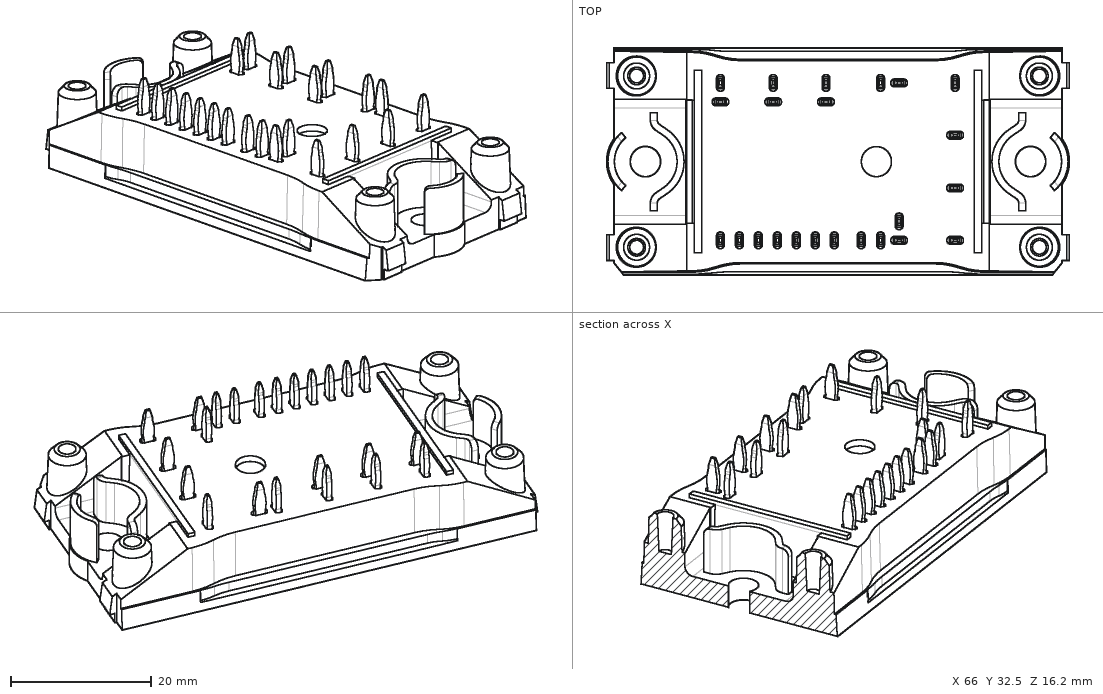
import cadquery as cq
import math

half_width = 16.25
end_x = 31.95
base_height = 3.5
body_top = 11.0
pin_top = 16.25
past_part = 39.6

base_top_half_width = 16.05
corner_cut_x = 1.45
corner_cut_y = 1.8
recess_outer_x = 19.8
recess_inner_x = 15.3
recess_end_y = 16.0
recess_wall_y = 15.7
recess_floor_inner_z = 2.0
recess_floor_outer_z = 1.4

body_wide_y = 15.8
body_narrow_y = 14.6
waist_outer_x = 20.9
waist_inner_x = 13.8
body_draft = 1.5
slope_start_x = 21.6
slope_tan = math.tan(math.radians(30))

bay_half_width = 8.9
bay_floor_radius = 1.25
plate_edge_x = 21.7
plate_edge_bottom_x = 21.6
gap_half_width = 8.8
gap_bottom_x = 20.8
gap_top_x = 20.45

tab_reach_x = 33.0
tab_top_x = 32.6
tab_inner_y = 10.4
tab_outer_y = 14.1
tab_step_z = 1.6
tab_foot_x = 32.2

hole_x = 27.45
hole_diameter = 4.3
clip_top = 10.6
nose_radius = tab_reach_x - hole_x
shield_outer_radius = 5.35
shield_inner_radius = 4.4
shield_angle = 50.5
shield_corner_radius = 0.8
clip_radius = 5.0
clip_thickness = 1.0
clip_angle = 56.0
clip_bend_radius = 1.3
clip_leg_x = 26.3
clip_half_width = 7.0
clip_corner_radius = 1.1

tower_x = 28.7
tower_y = 12.2
tower_foot_z = 3.3
tower_foot_radius = 3.0
tower_shoulder_radius = 2.7
tower_top_radius = 1.85
tower_top = 12.0
tower_hole_top_radius = 1.25
tower_hole_bottom_radius = 1.0
tower_hole_depth = 5.95

rib_x = 19.9
rib_width = 1.05
rib_length = 26.0
rib_top = 11.6
dimple_x = 5.5
dimple_diameter = 4.3
dimple_depth = 1.0

pin_thickness = 0.8
pin_foot_half_width = 0.7
pin_foot_z = 11.35
pin_belly_half_width = 0.85
pin_belly_z = 12.7
pin_shoulder_z = 14.0
pin_neck_half_width = 0.6
pin_neck_z = 14.6
pin_tip_z = 15.0
pin_bevel_z = 15.25
pin_tip_half_width = 0.3
pin_tip_thickness = 0.3
pin_slot_length = 2.4
pin_slot_width = 1.1
pin_slot_depth = 0.65
row_y = 11.2
inner_row_y = 8.5
side_y = 3.75
column_a = -16.75
column_b = -9.25
column_c = -1.7
column_d = 6.1
column_e = 8.7
column_f = 16.7
fine_pitch = 2.7
fine_pin_count = 7
single_pin_x = 3.3

pins_along_y = [(x, row_y) for x in (column_a, column_b, column_c, column_d, column_f)]
pins_along_y += [(column_a + i * fine_pitch, -row_y) for i in range(fine_pin_count)]
pins_along_y += [(single_pin_x, -row_y), (column_d, -row_y), (column_e, -inner_row_y)]
pins_along_x = [(x, inner_row_y) for x in (column_a, column_b, column_c)]
pins_along_x += [(column_e, row_y), (column_e, -row_y), (column_f, -row_y)]
pins_along_x += [(column_f, side_y), (column_f, -side_y)]


def slope_z(x):
    """Height of the sloping end roof at distance x from the middle."""
    return body_top - (x - slope_start_x) * slope_tan


def along_x(profile, x0, x1):
    """Extrude a YZ outline between two X positions."""
    return profile.extrude(x1 - x0).translate((x0, 0, 0))


def along_y(points, y0, y1):
    """Extrude an XZ polygon between two Y positions."""
    return cq.Workplane("XZ").polyline(points).close().extrude(y0 - y1).translate((0, y0, 0))


def both_ends(shape):
    return shape.union(shape.mirror("YZ"))


def both_sides(shape):
    return shape.union(shape.mirror("XZ"))


def polar(centre, radius, degrees):
    angle = math.radians(degrees)
    return (centre[0] + radius * math.cos(angle), centre[1] + radius * math.sin(angle))


def make_base():
    section = cq.Workplane("YZ").polyline([
        (-half_width, 0),
        (half_width, 0),
        (base_top_half_width, base_height),
        (-base_top_half_width, base_height),
    ]).close()
    return along_x(section, -end_x, end_x)


def make_side_recesses():
    """Shallow recesses under the waist, with S-curved ends and a sloping floor."""
    mid_x = (recess_outer_x + recess_inner_x) / 2
    mid_y = (recess_end_y + recess_wall_y) / 2
    plan = (
        cq.Workplane("XY")
        .moveTo(-end_x, recess_end_y)
        .lineTo(-recess_outer_x, recess_end_y)
        .tangentArcPoint((-mid_x, mid_y), relative=False)
        .tangentArcPoint((-recess_inner_x, recess_wall_y), relative=False)
        .lineTo(recess_inner_x, recess_wall_y)
        .tangentArcPoint((mid_x, mid_y), relative=False)
        .tangentArcPoint((recess_outer_x, recess_end_y), relative=False)
        .lineTo(end_x, recess_end_y)
        .lineTo(end_x, past_part)
        .lineTo(-end_x, past_part)
        .close()
        .extrude(base_height)
    )
    floor = cq.Workplane("YZ").polyline([
        (recess_wall_y, recess_floor_inner_z),
        (half_width, recess_floor_outer_z),
        (half_width, base_height),
        (recess_wall_y, base_height),
    ]).close()
    return both_sides(plan.intersect(along_x(floor, -recess_outer_x, recess_outer_x)))


def make_body():
    mid_x = (waist_outer_x + waist_inner_x) / 2
    mid_y = (body_wide_y + body_narrow_y) / 2
    block = (
        cq.Workplane("XY", origin=(0, 0, base_height))
        .moveTo(-past_part, 0)
        .lineTo(-past_part, body_wide_y)
        .lineTo(-waist_outer_x, body_wide_y)
        .tangentArcPoint((-mid_x, mid_y), relative=False)
        .tangentArcPoint((-waist_inner_x, body_narrow_y), relative=False)
        .lineTo(waist_inner_x, body_narrow_y)
        .tangentArcPoint((mid_x, mid_y), relative=False)
        .tangentArcPoint((waist_outer_x, body_wide_y), relative=False)
        .lineTo(past_part, body_wide_y)
        .lineTo(past_part, 0)
        .mirrorX()
        .extrude(body_top - base_height, taper=body_draft)
    )
    side_profile = [
        (-end_x, 0),
        (-end_x, slope_z(end_x)),
        (-slope_start_x, body_top),
        (slope_start_x, body_top),
        (end_x, slope_z(end_x)),
        (end_x, 0),
    ]
    return block.intersect(along_y(side_profile, -past_part, past_part))


def make_corner_cuts():
    cut = (
        cq.Workplane("XY")
        .moveTo(-end_x, -half_width)
        .lineTo(-end_x + corner_cut_x, -half_width)
        .lineTo(-end_x, -half_width + corner_cut_y)
        .close()
        .extrude(body_top)
    )
    return both_ends(cut)


def make_bays():
    """Open bays at both ends, each with a gap down through the base along the body wall."""
    bay = (
        cq.Workplane("YZ", origin=(-end_x, 0, body_top))
        .rect(2 * bay_half_width, 2 * (body_top - base_height))
        .extrude(end_x - plate_edge_x)
        .edges("|X and <Z")
        .fillet(bay_floor_radius)
    )
    gap = along_y([
        (-plate_edge_x, base_height),
        (-plate_edge_bottom_x, 0),
        (-gap_bottom_x, 0),
        (-gap_top_x, body_top),
        (-plate_edge_x, body_top),
    ], -gap_half_width, gap_half_width)
    return both_ends(bay.union(gap))


def make_tabs():
    tab = along_y([
        (-end_x, 0),
        (-end_x, slope_z(end_x)),
        (-tab_top_x, slope_z(tab_top_x)),
        (-tab_reach_x, tab_step_z),
        (-tab_foot_x, tab_step_z),
        (-tab_foot_x, 0),
    ], tab_inner_y, tab_outer_y)
    return both_sides(both_ends(tab))


def make_end_shield():
    """Round nose of the mounting plate and the curved wall that stands on it."""
    centre = (-hole_x, 0)
    nose = cq.Workplane("XY").center(*centre).circle(nose_radius).extrude(base_height)
    first = 180 - shield_angle
    last = 180 + shield_angle
    wall = (
        cq.Workplane("XY", origin=(0, 0, base_height))
        .moveTo(*polar(centre, shield_outer_radius, first))
        .threePointArc(polar(centre, shield_outer_radius, 180), polar(centre, shield_outer_radius, last))
        .lineTo(*polar(centre, shield_inner_radius, last))
        .threePointArc(polar(centre, shield_inner_radius, 180), polar(centre, shield_inner_radius, first))
        .close()
        .extrude(clip_top - base_height)
        .edges(">Z and %LINE")
        .fillet(shield_corner_radius)
    )
    return nose.union(wall)


def clip_side(offset):
    """Solid on the hole side of the clip line moved by offset: arc, tangent flank, bend, leg."""
    centre = (-hole_x, 0)
    angle = math.radians(clip_angle)
    bend_reach = polar(centre, clip_radius + clip_bend_radius, clip_angle)
    bend_x = -clip_leg_x + clip_bend_radius
    flank = (bend_reach[0] - bend_x) / math.sin(angle)
    bend = (bend_x, bend_reach[1] + flank * math.cos(angle))
    arc_radius = clip_radius + offset
    bend_radius = clip_bend_radius - offset
    return (
        cq.Workplane("XY", origin=(0, 0, base_height))
        .moveTo(*polar(centre, arc_radius, 0))
        .threePointArc(polar(centre, arc_radius, clip_angle / 2), polar(centre, arc_radius, clip_angle))
        .lineTo(*polar(bend, bend_radius, 180 + clip_angle))
        .threePointArc(polar(bend, bend_radius, 180 + clip_angle / 2), polar(bend, bend_radius, 180))
        .lineTo(-clip_leg_x + offset, clip_half_width)
        .lineTo(-end_x, clip_half_width)
        .lineTo(-end_x, 0)
        .mirrorX()
        .extrude(clip_top - base_height)
    )


def make_inner_clip():
    wall = clip_side(clip_thickness / 2).cut(clip_side(-clip_thickness / 2))
    return wall.faces("<Y or >Y").edges(">Z").fillet(clip_corner_radius)


def make_screw_holes():
    return (
        cq.Workplane("XY")
        .pushPoints([(-hole_x, 0), (hole_x, 0)])
        .circle(hole_diameter / 2)
        .extrude(base_height)
    )


def tower_positions():
    return [(x, y, 0) for x in (-tower_x, tower_x) for y in (-tower_y, tower_y)]


def make_tower():
    return (
        cq.Workplane("XZ")
        .moveTo(0, tower_foot_z)
        .lineTo(tower_foot_radius, tower_foot_z)
        .lineTo(tower_shoulder_radius, body_top)
        .lineTo(tower_top_radius, tower_top)
        .lineTo(0, tower_top)
        .close()
        .revolve(360, (0, 0, 0), (0, 1, 0))
    )


def make_tower_hole():
    bottom = tower_top - tower_hole_depth
    return (
        cq.Workplane("XZ")
        .moveTo(0, bottom)
        .lineTo(tower_hole_bottom_radius, bottom)
        .lineTo(tower_hole_top_radius, tower_top)
        .lineTo(0, tower_top)
        .close()
        .revolve(360, (0, 0, 0), (0, 1, 0))
    )


def make_ribs():
    rib = (
        cq.Workplane("XY", origin=(-rib_x, 0, body_top))
        .rect(rib_width, rib_length)
        .extrude(rib_top - body_top)
    )
    return both_ends(rib)


def make_pin():
    """Pin with its broad faces across X, standing on the floor of its slot."""
    foot_z = body_top - pin_slot_depth
    outline = (
        cq.Workplane("YZ")
        .moveTo(-pin_foot_half_width, foot_z)
        .lineTo(pin_foot_half_width, foot_z)
        .lineTo(pin_foot_half_width, pin_foot_z)
        .threePointArc((pin_belly_half_width, pin_belly_z), (pin_foot_half_width, pin_shoulder_z))
        .lineTo(pin_neck_half_width, pin_neck_z)
        .lineTo(pin_neck_half_width, pin_tip_z)
        .lineTo(pin_tip_half_width, pin_top)
        .lineTo(-pin_tip_half_width, pin_top)
        .lineTo(-pin_neck_half_width, pin_tip_z)
        .lineTo(-pin_neck_half_width, pin_neck_z)
        .lineTo(-pin_foot_half_width, pin_shoulder_z)
        .threePointArc((-pin_belly_half_width, pin_belly_z), (-pin_foot_half_width, pin_foot_z))
        .close()
        .extrude(pin_thickness / 2, both=True)
    )
    edge_profile = along_y([
        (-pin_thickness / 2, foot_z),
        (pin_thickness / 2, foot_z),
        (pin_thickness / 2, pin_bevel_z),
        (pin_tip_thickness / 2, pin_top),
        (-pin_tip_thickness / 2, pin_top),
        (-pin_thickness / 2, pin_bevel_z),
    ], -pin_slot_length / 2, pin_slot_length / 2)
    return outline.intersect(edge_profile)


def make_pin_slots(points, angle):
    return (
        cq.Workplane("XY", origin=(0, 0, body_top))
        .pushPoints(points)
        .slot2D(pin_slot_length, pin_slot_width, angle)
        .extrude(-pin_slot_depth)
    )


result = make_base().cut(make_side_recesses()).union(make_body())
result = result.cut(make_corner_cuts()).cut(make_bays()).union(make_tabs())
result = result.union(both_ends(make_end_shield())).union(both_ends(make_inner_clip()))
result = result.cut(make_screw_holes())

tower = make_tower()
tower_hole = make_tower_hole()
for position in tower_positions():
    result = result.union(tower.translate(position)).cut(tower_hole.translate(position))

dimple = cq.Workplane("XY", origin=(dimple_x, 0, body_top)).circle(dimple_diameter / 2).extrude(-dimple_depth)
result = result.union(make_ribs()).cut(dimple)
result = result.cut(make_pin_slots(pins_along_y, 90)).cut(make_pin_slots(pins_along_x, 0))

pin = make_pin()
turned_pin = pin.rotate((0, 0, 0), (0, 0, 1), 90)
for x, y in pins_along_y:
    result = result.union(pin.translate((x, y, 0)))
for x, y in pins_along_x:
    result = result.union(turned_pin.translate((x, y, 0)))